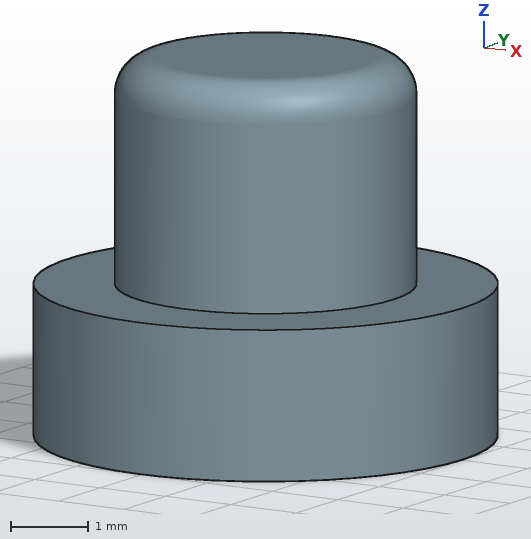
import cadquery as cq

flange_diameter = 6.0
flange_height = 2.0
pin_diameter = 3.9
total_height = 5.0
tip_radius = 0.5

pin_height = total_height - flange_height

flange = cq.Workplane("XY").circle(flange_diameter / 2).extrude(flange_height)

pin = (
    cq.Workplane("XY")
    .workplane(offset=flange_height)
    .circle(pin_diameter / 2)
    .extrude(pin_height)
    .faces(">Z")
    .edges()
    .fillet(tip_radius)
)

result = flange.union(pin)